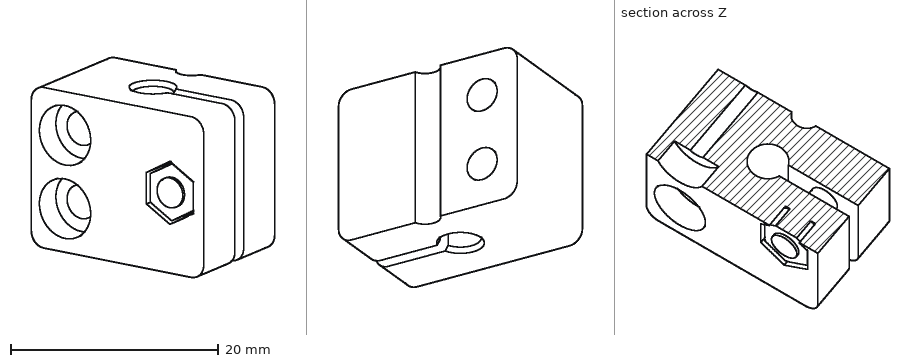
import cadquery as cq

LENGTH = 20.2
DEPTH = 12.1
HEIGHT = 16.2
CORNER_RADIUS = 1.5
FRONT_Y = -DEPTH / 2
BACK_Y = DEPTH / 2

BORE_DIAMETER = 4.0
BORE_MOUTH_DIAMETER = 4.6
BORE_MOUTH_DEPTH = 0.53
SLOT_WIDTH = 1.5

GROOVE_DIAMETER = 3.0
GROOVE_DEPTH = 0.99

HOLE_X = -6.15
HOLE_SPACING = 7.4
HOLE_DIAMETER = 3.4
COUNTERBORE_DIAMETER = 6.0
COUNTERBORE_DEPTH = 2.8

SCREW_X = -HOLE_X
SCREW_DIAMETER = 3.0
NUT_FLATS = 5.0
NUT_THICKNESS = 2.4
NUT_RECESS = 0.3
POCKET_FLATS = 5.5
POCKET_DEPTH = NUT_RECESS + NUT_THICKNESS


def cylinder_y(x, z, diameter, start_y, end_y):
    """Cylinder along Y between two Y positions."""
    circle = cq.Workplane("XZ", origin=(x, start_y, z)).circle(diameter / 2)
    return circle.extrude(start_y - end_y)


def hexagon_y(flats, start_y, end_y):
    """Hexagonal prism on the screw axis with two flats facing along X."""
    axis = cq.Workplane("XZ", origin=(SCREW_X, start_y, 0))
    return axis.polygon(6, flats, circumscribed=True).extrude(start_y - end_y)


def clamping_bore():
    """Bore along Z with a tapered mouth at both ends."""
    bore_radius = BORE_DIAMETER / 2
    mouth_radius = BORE_MOUTH_DIAMETER / 2
    top = HEIGHT / 2
    taper_end = top - BORE_MOUTH_DEPTH
    profile = [
        (0, -top),
        (mouth_radius, -top),
        (bore_radius, -taper_end),
        (bore_radius, taper_end),
        (mouth_radius, top),
        (0, top),
    ]
    return cq.Workplane("XZ").polyline(profile).close().revolve(360, (0, 0), (0, 1))


def clamping_slot():
    """Slot from the bore out through the +X side."""
    return cq.Workplane("XY").box(LENGTH / 2, SLOT_WIDTH, HEIGHT, centered=(False, True, True))


def back_groove():
    """Round groove along Z, its axis just outside the back face."""
    axis_y = BACK_Y - GROOVE_DEPTH + GROOVE_DIAMETER / 2
    return cq.Workplane("XY").center(0, axis_y).circle(GROOVE_DIAMETER / 2).extrude(HEIGHT / 2, both=True)


def mounting_hole(z):
    """Through hole counterbored from the front."""
    hole = cylinder_y(HOLE_X, z, HOLE_DIAMETER, FRONT_Y, BACK_Y)
    counterbore = cylinder_y(HOLE_X, z, COUNTERBORE_DIAMETER, FRONT_Y, FRONT_Y + COUNTERBORE_DEPTH)
    return hole.union(counterbore)


block = cq.Workplane("XY").box(LENGTH, DEPTH, HEIGHT).edges("|Y").fillet(CORNER_RADIUS)
block = block.cut(clamping_bore()).cut(clamping_slot()).cut(back_groove())
for hole_z in (-HOLE_SPACING / 2, HOLE_SPACING / 2):
    block = block.cut(mounting_hole(hole_z))

pocket_floor_y = FRONT_Y + POCKET_DEPTH
block = block.cut(hexagon_y(POCKET_FLATS, FRONT_Y, pocket_floor_y))
nut = hexagon_y(NUT_FLATS, FRONT_Y + NUT_RECESS, pocket_floor_y)

screw = cylinder_y(SCREW_X, 0, SCREW_DIAMETER, FRONT_Y, BACK_Y)

result = block.union(nut).union(screw)